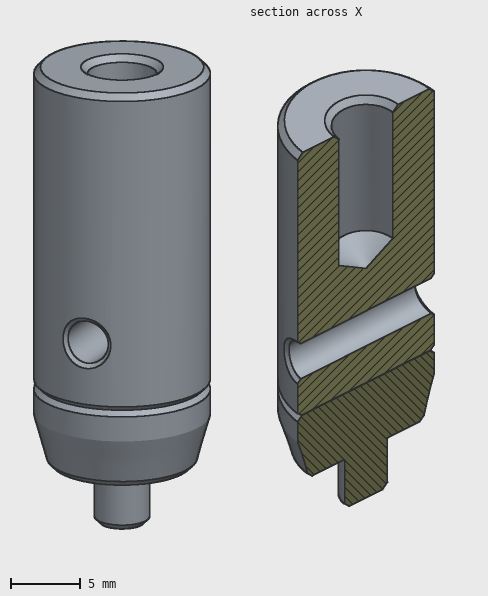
import cadquery as cq
import math

total_height = 34.5
body_diameter = 12.7
body_radius = body_diameter / 2
edge_chamfer = 0.5

pin_radius = 2.0
pin_chamfer = 0.45
pin_length = 4.5
nose_height = 6.0
nose_chamfer = 0.4
nose_foot_radius = 5.4
taper_top = 8.25
joint_z = pin_length + nose_height
joint_chamfer = 0.38

bore_radius = 2.5
bore_depth = 12.0
drill_point_angle = 118.0
cross_hole_radius = 1.6
cross_hole_chamfer = 0.3
cross_hole_z = joint_z + 5.0


def revolve_profile(points):
    """Revolve a closed (radius, height) outline about the Z axis."""
    return cq.Workplane("XZ").polyline(points).close().revolve(360, (0, 0), (0, 1))


def make_nose():
    """Tapered nose with a pilot pin below and a chamfered joint face above."""
    return revolve_profile([
        (0, 0),
        (pin_radius - pin_chamfer, 0),
        (pin_radius, pin_chamfer),
        (pin_radius, pin_length),
        (nose_foot_radius - nose_chamfer, pin_length),
        (nose_foot_radius, pin_length + nose_chamfer),
        (body_radius, taper_top),
        (body_radius, joint_z - joint_chamfer),
        (body_radius - joint_chamfer, joint_z),
        (0, joint_z),
    ])


def make_bored_cylinder():
    """Chamfered cylinder with a blind drilled bore in its top face."""
    bore_bottom = total_height - bore_depth
    point_depth = bore_radius / math.tan(math.radians(drill_point_angle / 2))
    return revolve_profile([
        (0, joint_z),
        (body_radius - joint_chamfer, joint_z),
        (body_radius, joint_z + joint_chamfer),
        (body_radius, total_height - edge_chamfer),
        (body_radius - edge_chamfer, total_height),
        (bore_radius + edge_chamfer, total_height),
        (bore_radius, total_height - edge_chamfer),
        (bore_radius, bore_bottom),
        (0, bore_bottom - point_depth),
    ])


def make_housing():
    """Bored cylinder pierced along Y by a cross hole with chamfered mouths."""
    cross_hole = (
        cq.Workplane("XZ")
        .center(0, cross_hole_z)
        .circle(cross_hole_radius)
        .extrude(body_radius, both=True)
    )
    drilled = make_bored_cylinder().cut(cross_hole)
    half_window = cross_hole_radius + cross_hole_chamfer
    mouth_window = cq.selectors.BoxSelector(
        (-half_window, -body_diameter, cross_hole_z - half_window),
        (half_window, body_diameter, cross_hole_z + half_window),
        boundingbox=True,
    )
    return drilled.edges(mouth_window).edges("not |Y").chamfer(cross_hole_chamfer)


nose = make_nose()
housing = make_housing()

result = cq.Compound.makeCompound([housing.val(), nose.val()])